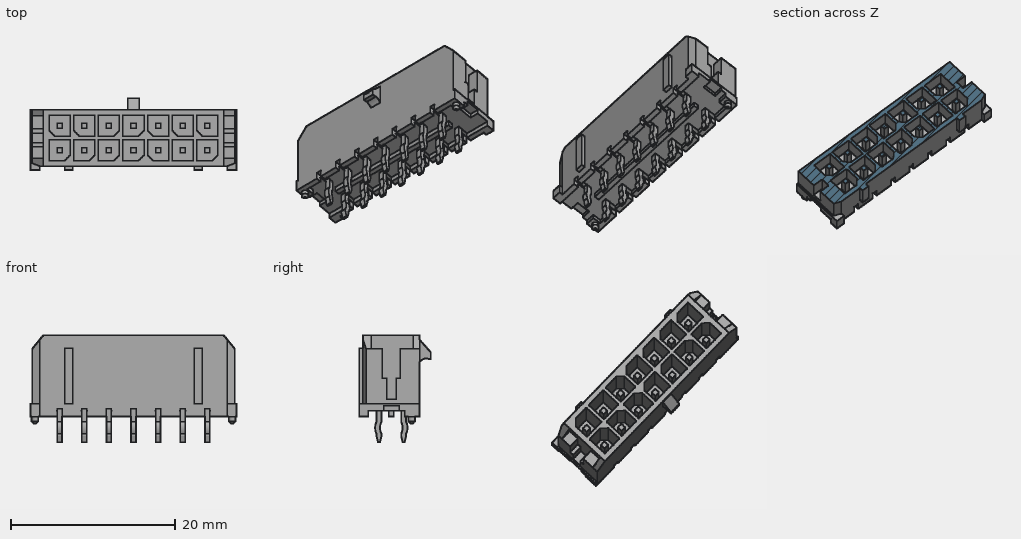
import cadquery as cq

flange_length = 25.15
housing_length = 24.7
housing_depth = 6.92
housing_height = 9.93
front_projection = 0.48
half_length = housing_length / 2
front_y = -housing_depth / 2
back_y = housing_depth / 2
rib_face_y = front_y - front_projection

top_length = 21.98
shoulder_height = 8.27
corner_bevel_x = 0.93
corner_bevel_y = 0.38

mouth_front_y = -2.46
mouth_back_y = 2.7
wide_slot_width = 2.2
wide_slot_floor = 4.68
narrow_slot_width = 1.15
narrow_slot_floor = 2.15

columns = 7
row_length = 18.0
pitch = row_length / (columns - 1)
row_y = pitch / 2
cavity_size = 2.57
cavity_key = 0.68
cavity_floor = narrow_slot_floor
back_row_keys = ["left", "left", "right", "right", "left", "left", "left"]
front_row_keys = ["right", "right", "right", "right", "left", None, "right"]

pin_width = 0.63
pin_top = 6.04
pin_tip_z = -3.15
pin_bend_top = -0.63
pin_bend_bottom = -2.11
pin_bend_offset = 0.18
pin_taper_start = -2.4
pin_tip_width = 0.25

flange_height = 1.58
flange_width = 1.15
flange_inner_x = flange_length / 2 - flange_width
foot_back_edge = 1.63
notch_width = 1.89
notch_height = 1.3
peg_diameter = 0.85
peg_x = 12.02
peg_y = 2.5
peg_straight = 0.55
peg_cone = 0.3
peg_tip_diameter = 0.25

recess_height = 0.7
wall_foot = 0.68
center_rib_width = 0.63
slot_width = 0.63
slot_height = 0.98

front_rib_x = 7.9
front_rib_width = 1.0
front_rib_bottom = flange_height
front_rib_top = 8.35

latch_width = 1.45
latch_reach = 1.38
latch_ramp_top = 9.38
latch_nose_top = 7.82
latch_nose_bottom = 6.97
latch_fillet_start = 0.78
latch_fillet_z = 7.1
latch_root_z = 6.65
latch_arc_mid_y = 0.35
latch_arc_mid_z = 6.95


def block(x0, x1, y0, y1, z0, z1):
    """Box between two opposite corners."""
    return cq.Workplane("XY").box(x1 - x0, y1 - y0, z1 - z0, centered=False).translate((x0, y0, z0))


def both_ends(shape):
    """The left-end shape together with its mirror at the right end."""
    return shape.union(shape.mirror("YZ"))


def column_x(column):
    return column * pitch - row_length / 2


def left_end_opening():
    """Wide mouth above two centred slots, cut in as far as the flat top."""
    steps = [
        (mouth_front_y, mouth_back_y, shoulder_height),
        (-wide_slot_width / 2, wide_slot_width / 2, wide_slot_floor),
        (-narrow_slot_width / 2, narrow_slot_width / 2, narrow_slot_floor),
    ]
    opening = cq.Workplane("XY")
    for y0, y1, floor in steps:
        opening = opening.add(block(-half_length, -top_length / 2, y0, y1, floor, housing_height))
    return opening.combine()


def make_housing():
    plan = (
        cq.Workplane("XY")
        .polyline([
            (-half_length, back_y),
            (half_length, back_y),
            (half_length, front_y + corner_bevel_y),
            (half_length - corner_bevel_x, front_y),
            (-half_length + corner_bevel_x, front_y),
            (-half_length, front_y + corner_bevel_y),
        ])
        .close()
        .extrude(housing_height)
    )
    sloped_outline = (
        cq.Workplane("XZ")
        .polyline([
            (-half_length, 0),
            (half_length, 0),
            (half_length, shoulder_height),
            (top_length / 2, housing_height),
            (-top_length / 2, housing_height),
            (-half_length, shoulder_height),
        ])
        .close()
        .extrude(housing_depth / 2, both=True)
    )
    housing = plan.intersect(sloped_outline)
    return housing.cut(both_ends(left_end_opening()))


def make_flanges():
    flange = block(-flange_length / 2, -flange_inner_x, rib_face_y, back_y, 0, flange_height)
    return both_ends(flange)


def underside_cut():
    """Hollow below the floor, split by a lengthwise rib between the rows."""
    hollow_edge = back_y - wall_foot
    hollow = block(-flange_inner_x, flange_inner_x, -hollow_edge, hollow_edge, 0, recess_height)
    rib = block(
        -row_length / 2, row_length / 2,
        -center_rib_width / 2, center_rib_width / 2,
        0, recess_height,
    )
    gap = block(-flange_length / 2, -flange_inner_x, -hollow_edge, foot_back_edge, 0, recess_height)
    notch = block(
        -flange_length / 2, -flange_inner_x, -notch_width / 2, notch_width / 2, 0, notch_height
    )
    return hollow.cut(rib).union(both_ends(gap.union(notch)))


def wall_slots(x):
    """Slots through the front and back wall feet, reaching in to the pins of one column."""
    pin_face_y = -row_y - pin_width / 2
    slot = block(x - slot_width / 2, x + slot_width / 2, front_y, pin_face_y, 0, slot_height)
    return slot.union(slot.mirror("XZ"))


def make_cavity(x, y, key):
    half = cavity_size / 2
    cavity = block(x - half, x + half, y - half, y + half, cavity_floor, housing_height)
    if key == "left":
        cavity = cavity.edges("|Z").edges("<X and <Y").chamfer(cavity_key)
    elif key == "right":
        cavity = cavity.edges("|Z").edges(">X and <Y").chamfer(cavity_key)
    return cavity


def make_front_pin(x):
    """Square contact with a tail that bows outward before its tapered tip."""
    inner_y = -row_y + pin_width / 2
    outer_y = -row_y - pin_width / 2
    bend_middle = (pin_bend_top + pin_bend_bottom) / 2
    return (
        cq.Workplane("YZ")
        .moveTo(outer_y, pin_top)
        .lineTo(outer_y, pin_bend_top)
        .threePointArc((outer_y - pin_bend_offset, bend_middle), (outer_y, pin_bend_bottom))
        .lineTo(outer_y, pin_taper_start)
        .lineTo(-row_y - pin_tip_width / 2, pin_tip_z)
        .lineTo(-row_y + pin_tip_width / 2, pin_tip_z)
        .lineTo(inner_y, pin_taper_start)
        .lineTo(inner_y, pin_bend_bottom)
        .threePointArc((inner_y - pin_bend_offset, bend_middle), (inner_y, pin_bend_top))
        .lineTo(inner_y, pin_top)
        .close()
        .extrude(pin_width / 2, both=True)
        .translate((x, 0, 0))
    )


def make_pegs():
    peg = cq.Workplane("XY").circle(peg_diameter / 2).extrude(-peg_straight)
    tip = (
        cq.Workplane("XY", origin=(0, 0, -peg_straight))
        .circle(peg_diameter / 2)
        .workplane(offset=-peg_cone)
        .circle(peg_tip_diameter / 2)
        .loft()
    )
    return both_ends(peg.union(tip).translate((-peg_x, peg_y, 0)))


def make_front_ribs():
    left = -front_rib_x - front_rib_width / 2
    rib = block(
        left, left + front_rib_width, rib_face_y, front_y, front_rib_bottom, front_rib_top
    )
    return both_ends(rib)


def make_latch():
    nose_y = back_y + latch_reach
    return (
        cq.Workplane("YZ")
        .moveTo(back_y, latch_ramp_top)
        .lineTo(nose_y, latch_nose_top)
        .lineTo(nose_y, latch_nose_bottom)
        .lineTo(back_y + latch_fillet_start, latch_fillet_z)
        .threePointArc((back_y + latch_arc_mid_y, latch_arc_mid_z), (back_y, latch_root_z))
        .close()
        .extrude(latch_width / 2, both=True)
    )


result = make_housing().union(make_flanges()).cut(underside_cut())
for column in range(columns):
    x = column_x(column)
    result = result.cut(wall_slots(x))
    result = result.cut(make_cavity(x, row_y, back_row_keys[column]))
    result = result.cut(make_cavity(x, -row_y, front_row_keys[column]))
    pin = make_front_pin(x)
    result = result.union(pin).union(pin.mirror("XZ"))
result = result.union(make_pegs()).union(make_front_ribs()).union(make_latch())